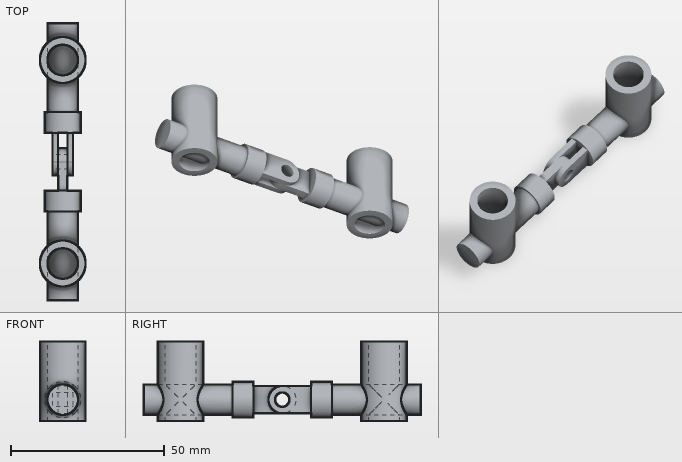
import cadquery as cq

overall_length = 90.4
rod_diameter = 10.0
collar_diameter = 11.8
collar_length = 6.8
collar_start = 9.4

tube_diameter = 15.0
tube_bore = rod_diameter
tube_height = 26.0
tube_below_axis = 7.0
tube_to_rod_end = 12.0

hinge_height = 9.0
hinge_hole_diameter = 4.6
fork_width = 6.8
tongue_width = 3.0

rod_end = overall_length / 2
tube_offset = rod_end - tube_to_rod_end
collar_end = collar_start + collar_length
hinge_radius = hinge_height / 2


def cylinder_along_y(diameter, start, end):
    """Solid cylinder on the Y axis between two Y positions."""
    return (
        cq.Workplane("XZ", origin=(0, start, 0))
        .circle(diameter / 2)
        .extrude(start - end)
    )


def hinge_plate(width):
    """Drilled plate reaching from the collar to a round end about the hinge axis."""
    return (
        cq.Workplane("YZ")
        .moveTo(collar_start, hinge_radius)
        .lineTo(0, hinge_radius)
        .threePointArc((-hinge_radius, 0), (0, -hinge_radius))
        .lineTo(collar_start, -hinge_radius)
        .close()
        .extrude(width / 2, both=True)
        .cut(cq.Workplane("YZ").circle(hinge_hole_diameter / 2).extrude(width, both=True))
    )


def make_shank():
    """Plain rod with a collar at its hinge end, on the +Y side."""
    collar = cylinder_along_y(collar_diameter, collar_start, collar_end)
    rod = cylinder_along_y(rod_diameter, collar_end, rod_end)
    return collar.union(rod)


def make_fork_arm():
    """Arm whose hinge end is two cheeks with a slot for the tongue."""
    slot_length = hinge_radius + collar_start
    slot = cq.Workplane("XY").box(tongue_width, slot_length, hinge_height).translate(
        (0, collar_start - slot_length / 2, 0)
    )
    return make_shank().union(hinge_plate(fork_width).cut(slot))


def make_tongue_arm():
    """Arm whose hinge end is one middle plate, turned round to the -Y side."""
    arm = make_shank().union(hinge_plate(tongue_width))
    return arm.rotate((0, 0, 0), (0, 0, 1), 180)


def make_cross_tube(y_position):
    """Upright open tube with a cross hole that the rod passes through."""
    tube = (
        cq.Workplane("XY", origin=(0, y_position, -tube_below_axis))
        .circle(tube_diameter / 2)
        .circle(tube_bore / 2)
        .extrude(tube_height)
    )
    cross_hole = cylinder_along_y(
        rod_diameter, y_position - tube_diameter, y_position + tube_diameter
    )
    return tube.cut(cross_hole)


fork_arm = make_fork_arm()
tongue_arm = make_tongue_arm()
cross_tubes = [make_cross_tube(y) for y in (-tube_offset, tube_offset)]

bodies = [fork_arm, tongue_arm, *cross_tubes]
result = cq.Compound.makeCompound([body.solids().val() for body in bodies])